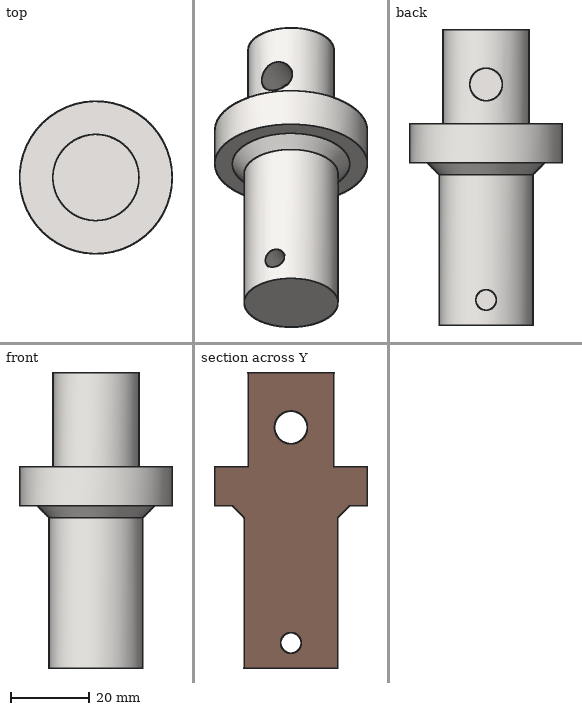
import cadquery as cq

total_height = 75.5
spigot_diameter = 22.0
spigot_length = 24.0
flange_diameter = 39.0
flange_thickness = 10.0
shank_diameter = 24.0
collar_height = 3.0

spigot_hole_diameter = 8.3
spigot_hole_below_top = 14.0
shank_hole_diameter = 5.2
shank_hole_height = 6.5

flange_top = total_height - spigot_length
flange_bottom = flange_top - flange_thickness
shank_top = flange_bottom - collar_height
spigot_hole_height = total_height - spigot_hole_below_top
spigot_radius = spigot_diameter / 2
flange_radius = flange_diameter / 2
shank_radius = shank_diameter / 2
collar_radius = shank_radius + collar_height


def turned_body():
    """Half profile (radius, height) revolved about the Z axis."""
    return (
        cq.Workplane("XZ")
        .moveTo(0, 0)
        .lineTo(shank_radius, 0)
        .lineTo(shank_radius, shank_top)
        .lineTo(collar_radius, flange_bottom)
        .lineTo(flange_radius, flange_bottom)
        .lineTo(flange_radius, flange_top)
        .lineTo(spigot_radius, flange_top)
        .lineTo(spigot_radius, total_height)
        .lineTo(0, total_height)
        .close()
        .revolve(360, (0, 0, 0), (0, 1, 0))
    )


def radial_hole(diameter, height):
    """Cutter running from the pin axis out past the +Y surface."""
    return (
        cq.Workplane("XZ")
        .center(0, height)
        .circle(diameter / 2)
        .extrude(-flange_radius)
    )


result = (
    turned_body()
    .cut(radial_hole(spigot_hole_diameter, spigot_hole_height))
    .cut(radial_hole(shank_hole_diameter, shank_hole_height))
)